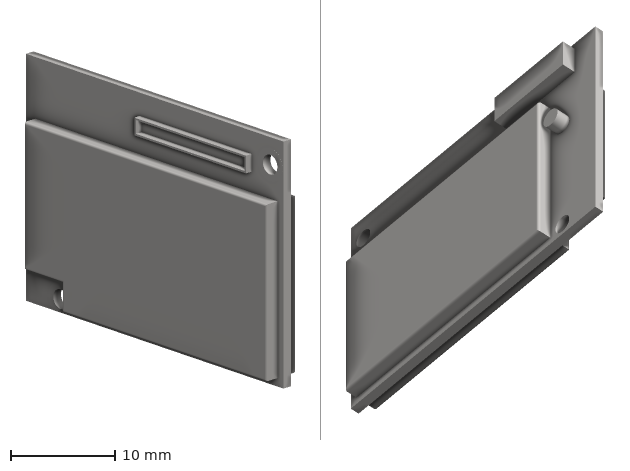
import cadquery as cq

BOARD_LENGTH = 35.56
BOARD_HEIGHT = 25.08
BOARD_THICKNESS = 1.0
TOTAL_THICKNESS = 4.01
SHIELD_HEIGHT = (TOTAL_THICKNESS - BOARD_THICKNESS) / 2
REAR_END = BOARD_THICKNESS + SHIELD_HEIGHT

HOLE_CENTRES = [(4.8, 1.37), (33.73, 22.29)]
HOLE_DIAMETER = 2.0
PAD_DIAMETER = 3.4
PAD_THICKNESS = 0.01

SHIELD_LEFT = 1.3
SHIELD_RIGHT = 34.72
SHIELD_BOTTOM = 0.86
SHIELD_TOP = 18.82
FRONT_SHIELD_EDGE_RADIUS = 0.25
REAR_SHIELD_EDGE_RADIUS = 0.3
NOTCH_RIGHT = 6.55
NOTCH_TOP = 3.86

POST_DIAMETER = 2.03
POST_CENTRE_X = HOLE_CENTRES[0][0]
POST_CENTRE_Z = 15.15

SOCKET_LEFT = 15.75
SOCKET_BOTTOM = 20.93
SOCKET_LENGTH = 15.42
SOCKET_WIDTH = 1.8
SOCKET_HEIGHT = 0.75
SOCKET_WALL = 0.2

CONNECTOR_LEFT = 3.0
CONNECTOR_BOTTOM = 21.1
CONNECTOR_LENGTH = 9.97
CONNECTOR_WIDTH = 3.22


def block(left, bottom, length, height, y_start, y_end):
    """Box given by its lower left corner, its size along X and Z and its Y range."""
    size_y = y_end - y_start
    return cq.Workplane("XY").box(length, size_y, height, centered=False).translate((left, y_start, bottom))


def disc(centre_x, centre_z, diameter, y_start, y_end):
    """Round cylinder along Y."""
    plane = cq.Workplane("XZ", origin=(centre_x, y_start, centre_z))
    return plane.circle(diameter / 2).extrude(y_start - y_end)


def make_board():
    return block(0, 0, BOARD_LENGTH, BOARD_HEIGHT, 0, BOARD_THICKNESS)


def make_front_shield():
    """L-shaped can that leaves the lower left mounting hole free."""
    length = SHIELD_RIGHT - SHIELD_LEFT
    height = SHIELD_TOP - SHIELD_BOTTOM
    notch_length = NOTCH_RIGHT - SHIELD_LEFT
    notch_height = NOTCH_TOP - SHIELD_BOTTOM
    can = block(SHIELD_LEFT, SHIELD_BOTTOM, length, height, -SHIELD_HEIGHT, 0)
    notch = block(SHIELD_LEFT, SHIELD_BOTTOM, notch_length, notch_height, -SHIELD_HEIGHT, 0)
    return can.cut(notch).faces("<Y").edges().fillet(FRONT_SHIELD_EDGE_RADIUS)


def make_rear_shield():
    """Rectangular can that starts to the right of the lower left mounting hole."""
    length = SHIELD_RIGHT - NOTCH_RIGHT
    height = SHIELD_TOP - SHIELD_BOTTOM
    can = block(NOTCH_RIGHT, SHIELD_BOTTOM, length, height, BOARD_THICKNESS, REAR_END)
    return can.faces(">Y").edges().fillet(REAR_SHIELD_EDGE_RADIUS)


def make_post():
    return disc(POST_CENTRE_X, POST_CENTRE_Z, POST_DIAMETER, BOARD_THICKNESS, REAR_END)


def make_socket():
    """Long box on the front face, open down to the board."""
    body = block(SOCKET_LEFT, SOCKET_BOTTOM, SOCKET_LENGTH, SOCKET_WIDTH, -SOCKET_HEIGHT, 0)
    pocket = block(
        SOCKET_LEFT + SOCKET_WALL,
        SOCKET_BOTTOM + SOCKET_WALL,
        SOCKET_LENGTH - 2 * SOCKET_WALL,
        SOCKET_WIDTH - 2 * SOCKET_WALL,
        -SOCKET_HEIGHT,
        0,
    )
    return body.cut(pocket)


def make_connector():
    return block(
        CONNECTOR_LEFT,
        CONNECTOR_BOTTOM,
        CONNECTOR_LENGTH,
        CONNECTOR_WIDTH,
        BOARD_THICKNESS,
        REAR_END,
    )


def add_mounting_holes(body):
    """Pads, trimmed to the board outline, and the through holes in them."""
    board_outline = block(0, 0, BOARD_LENGTH, BOARD_HEIGHT, -PAD_THICKNESS, 0)
    for centre_x, centre_z in HOLE_CENTRES:
        pad = disc(centre_x, centre_z, PAD_DIAMETER, -PAD_THICKNESS, 0)
        hole = disc(centre_x, centre_z, HOLE_DIAMETER, -PAD_THICKNESS, BOARD_THICKNESS)
        body = body.union(pad.intersect(board_outline)).cut(hole)
    return body


result = make_board()
components = [make_front_shield(), make_rear_shield(), make_post(), make_socket(), make_connector()]
for component in components:
    result = result.union(component)
result = add_mounting_holes(result)